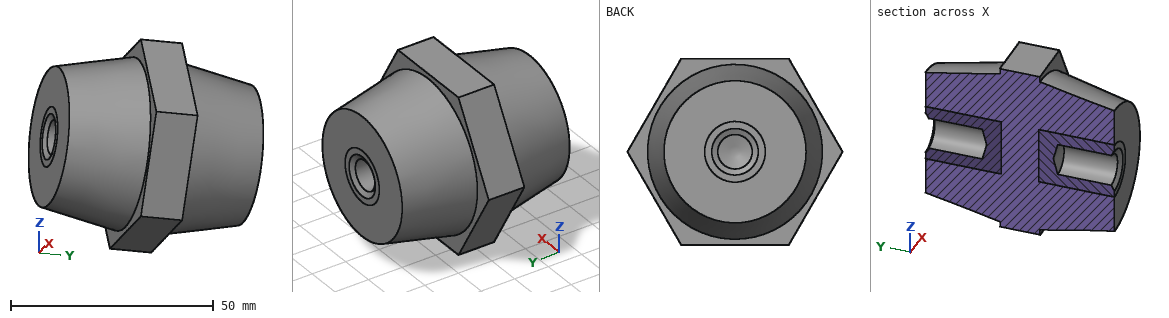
import cadquery as cq
import math

hex_sides = 6
hex_across_corners = 53.1
hex_thickness = 10.6
total_length = 50.0
end_radius = 17.55
collar_radius = 21.55

insert_radius = 7.5
insert_length = 19.95
hole_radius = 4.25
hole_depth = 15.0
tip_half_angle = 75.0
countersink_radius = 5.75
countersink_depth = 0.85

half_length = total_length / 2
half_hex = hex_thickness / 2
tip_depth = hole_depth + hole_radius / math.tan(math.radians(tip_half_angle))

y_axis_start = (0, 0, 0)
y_axis_end = (0, 1, 0)


def revolve_about_y(outline):
    """Spin a closed (radius, y) outline a full turn about the Y axis."""
    return cq.Workplane("XY").polyline(outline).close().revolve(360, y_axis_start, y_axis_end)


def place_at_end(body, side):
    """Return a body made for the -Y end (side -1), or turned half a turn for the +Y end (side 1)."""
    if side < 0:
        return body
    return body.rotate((0, 0, 0), (0, 0, 1), 180)


def make_insert(side):
    """Round insert with a countersunk blind hole ending in a shallow cone."""
    face = -half_length
    outline = [
        (countersink_radius, face),
        (insert_radius, face),
        (insert_radius, face + insert_length),
        (0, face + insert_length),
        (0, face + tip_depth),
        (hole_radius, face + hole_depth),
        (hole_radius, face + countersink_depth),
    ]
    return place_at_end(revolve_about_y(outline), side)


def make_insert_pocket(side):
    """Cylindrical space in the housing that an insert fills."""
    face = -half_length
    outline = [
        (0, face),
        (insert_radius, face),
        (insert_radius, face + insert_length),
        (0, face + insert_length),
    ]
    return place_at_end(revolve_about_y(outline), side)


def make_housing():
    """Hexagonal collar with a taper on each side, less the two insert pockets."""
    collar = (
        cq.Workplane("XZ", origin=(0, half_hex, 0))
        .polygon(hex_sides, hex_across_corners)
        .extrude(hex_thickness)
    )
    taper_outline = [
        (0, -half_length),
        (end_radius, -half_length),
        (collar_radius, -half_hex),
        (0, -half_hex),
    ]
    body = collar
    for side in (-1, 1):
        body = body.union(place_at_end(revolve_about_y(taper_outline), side))
    for side in (-1, 1):
        body = body.cut(make_insert_pocket(side))
    return body


housing = make_housing()
inserts = [make_insert(side) for side in (-1, 1)]

result = cq.Compound.makeCompound([housing.val(), *[insert.val() for insert in inserts]])